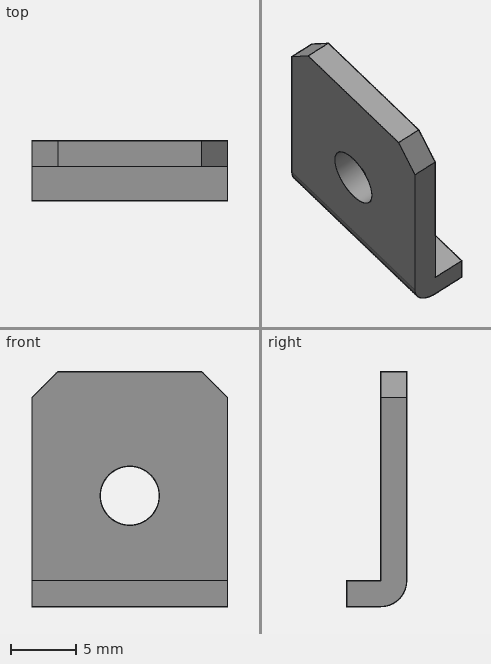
import cadquery as cq

width = 15.0
height = 18.0
depth = 4.6
thickness = 2.0
corner_chamfer = thickness
bend_radius = thickness
hole_diameter = 4.5
hole_height = 8.5


def plate_with_lip():
    """L-shaped section: upright plate at the back (+Y), lip along the bottom toward -Y."""
    section = (
        cq.Workplane("YZ")
        .moveTo(0, 0)
        .lineTo(depth - bend_radius, 0)
        .radiusArc((depth, bend_radius), -bend_radius)
        .lineTo(depth, height)
        .lineTo(depth - thickness, height)
        .lineTo(depth - thickness, thickness)
        .lineTo(0, thickness)
        .close()
    )
    return section.extrude(width / 2, both=True)


def mounting_hole():
    """Cylinder that passes through the upright plate along Y."""
    return (
        cq.Workplane("XZ")
        .center(0, hole_height)
        .circle(hole_diameter / 2)
        .extrude(-depth)
    )


bracket = plate_with_lip().cut(mounting_hole())

result = bracket.faces(">Z").edges("|Y").chamfer(corner_chamfer)